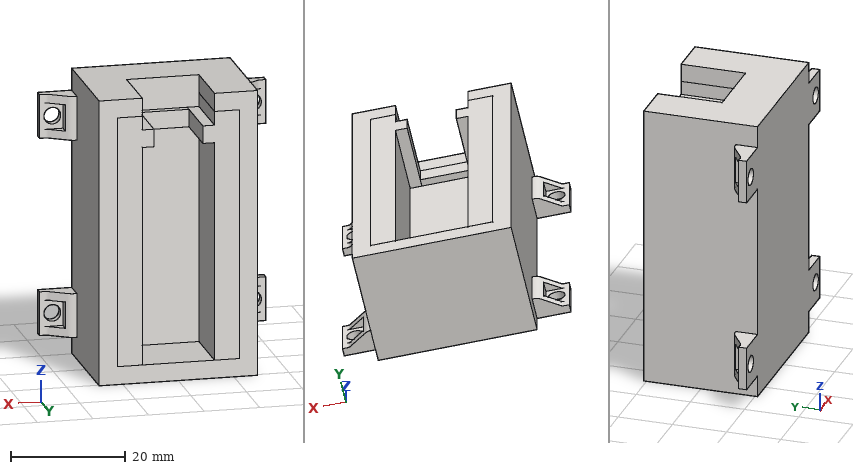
import cadquery as cq

HOUSING_WIDTH = 28.5
HOUSING_DEPTH = 21.0
HOUSING_HEIGHT = 52.0
WALL = 3.3

CHANNEL_WIDTH = 13.0
CHANNEL_DEPTH = 11.9
CHANNEL_FLOOR_Y = HOUSING_DEPTH - CHANNEL_DEPTH
CAVITY_WIDTH = HOUSING_WIDTH - 2 * WALL
CAVITY_HEIGHT = HOUSING_HEIGHT - 2 * WALL

RAIL_WIDTH = 2.1
RAIL_HEIGHT = 3.2
RAIL_TOP_Z = HOUSING_HEIGHT - 5.8
RAIL_BASE_Z = RAIL_TOP_Z - RAIL_HEIGHT
SILL_WIDTH = CHANNEL_WIDTH - 2 * RAIL_WIDTH
SILL_THICKNESS = 1.3

OVERALL_WIDTH = 40.7
EAR_LENGTH = (OVERALL_WIDTH - HOUSING_WIDTH) / 2
EAR_HEIGHT = 8.0
EAR_END_DISTANCE = 8.0
EAR_TIP_THICKNESS = 1.5
EAR_ROOT_THICKNESS = 4.0
EAR_FLAT_LENGTH = 1.25
EAR_CREST_LENGTH = 1.0
EAR_FOOT_RADIUS = 1.0
EAR_CREST_RADIUS = 2.0
HOLE_DIAMETER = 3.0
HOLE_TIP_DISTANCE = 2.3
POCKET_LENGTH = 4.2
POCKET_HEIGHT = 4.8


def box(width, depth, height, x_centre, y_min, z_min):
    """Box centred on x_centre that grows toward +Y and +Z."""
    return cq.Workplane("XY").box(width, depth, height, centered=(True, False, False)).translate(
        (x_centre, y_min, z_min)
    )


def make_ear(side, z_centre):
    """Ramped ear on the +X (side = 1) or -X (side = -1) face, with a screw hole and head pocket."""
    root_x = HOUSING_WIDTH / 2
    tip_x = root_x + EAR_LENGTH
    foot_x = tip_x - EAR_FLAT_LENGTH
    crest_x = root_x + EAR_CREST_LENGTH
    profile = [
        (root_x, 0),
        (tip_x, 0),
        (tip_x, EAR_TIP_THICKNESS),
        (foot_x, EAR_TIP_THICKNESS),
        (crest_x, EAR_ROOT_THICKNESS),
        (root_x, EAR_ROOT_THICKNESS),
    ]
    ear = cq.Workplane("XY").polyline(profile).close().extrude(EAR_HEIGHT / 2, both=True)
    ear = ear.edges(cq.NearestToPointSelector((foot_x, EAR_TIP_THICKNESS, 0))).fillet(EAR_FOOT_RADIUS)
    ear = ear.edges(cq.NearestToPointSelector((crest_x, EAR_ROOT_THICKNESS, 0))).fillet(EAR_CREST_RADIUS)

    pocket = box(
        POCKET_LENGTH, EAR_ROOT_THICKNESS, POCKET_HEIGHT,
        tip_x - POCKET_LENGTH / 2, EAR_TIP_THICKNESS, -POCKET_HEIGHT / 2,
    )
    hole = (
        cq.Workplane("XZ")
        .center(tip_x - HOLE_TIP_DISTANCE, 0)
        .circle(HOLE_DIAMETER / 2)
        .extrude(-EAR_ROOT_THICKNESS)
    )
    ear = ear.cut(pocket).cut(hole)
    if side < 0:
        ear = ear.mirror("YZ")
    return ear.translate((0, 0, z_centre))


def make_housing():
    """Block with a cavity open to the back, a notch in the top end wall and four ears."""
    housing = box(HOUSING_WIDTH, HOUSING_DEPTH, HOUSING_HEIGHT, 0, 0, 0)
    cavity = box(CAVITY_WIDTH, CHANNEL_DEPTH, CAVITY_HEIGHT, 0, CHANNEL_FLOOR_Y, WALL)
    notch = box(CHANNEL_WIDTH, CHANNEL_DEPTH, WALL, 0, CHANNEL_FLOOR_Y, HOUSING_HEIGHT - WALL)
    housing = housing.cut(cavity).cut(notch)
    for side in (-1, 1):
        for z_centre in (EAR_END_DISTANCE, HOUSING_HEIGHT - EAR_END_DISTANCE):
            housing = housing.union(make_ear(side, z_centre), clean=False)
    return housing.solids()


def make_guide(side):
    """Block that fills one side of the cavity and carries a rail reaching into the channel."""
    guide_width = (CAVITY_WIDTH - CHANNEL_WIDTH) / 2
    guide_x = side * (CHANNEL_WIDTH + guide_width) / 2
    rail_x = side * (CHANNEL_WIDTH - RAIL_WIDTH) / 2
    guide = box(guide_width, CHANNEL_DEPTH, CAVITY_HEIGHT, guide_x, CHANNEL_FLOOR_Y, WALL)
    rail = box(RAIL_WIDTH, CHANNEL_DEPTH, RAIL_HEIGHT, rail_x, CHANNEL_FLOOR_Y, RAIL_BASE_Z)
    return guide.union(rail).solids()


def make_sill():
    """Low strip on the channel floor that spans the gap between the rails."""
    return box(SILL_WIDTH, SILL_THICKNESS, RAIL_HEIGHT, 0, CHANNEL_FLOOR_Y, RAIL_BASE_Z)


housing = make_housing()
guides = [make_guide(side) for side in (-1, 1)]
sill = make_sill()

result = cq.Compound.makeCompound([housing.val(), *[guide.val() for guide in guides], sill.val()])